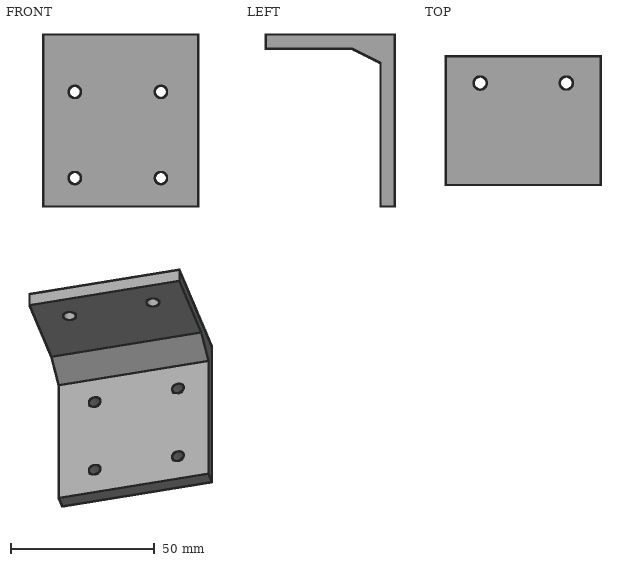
import cadquery as cq

width = 54.0
depth = 45.0
height = 60.0
wall_thickness = 5.0
flange_thickness = 5.0

gusset_depth = 10.0
gusset_height = 5.0

hole_spacing = 30.0
wall_hole_diameter = 4.2
wall_hole_first_x = 11.0
wall_hole_first_z = 10.0
flange_hole_diameter = 4.5
flange_hole_first_x = 12.0
flange_hole_y = 35.58


def make_bracket_body():
    """L-shaped section in the YZ plane, extruded along the width."""
    flange_underside = height - flange_thickness
    section = [
        (0, 0),
        (wall_thickness, 0),
        (wall_thickness, flange_underside - gusset_height),
        (wall_thickness + gusset_depth, flange_underside),
        (depth, flange_underside),
        (depth, height),
        (0, height),
    ]
    return cq.Workplane("YZ").polyline(section).close().extrude(width)


def make_wall_holes():
    """Square pattern of four through holes along Y."""
    centres = [
        (wall_hole_first_x + column * hole_spacing, wall_hole_first_z + row * hole_spacing)
        for column in range(2)
        for row in range(2)
    ]
    return cq.Workplane("XZ").pushPoints(centres).circle(wall_hole_diameter / 2).extrude(-wall_thickness)


def make_flange_holes():
    """Pair of through holes along Z near the free edge of the flange."""
    centres = [
        (flange_hole_first_x + column * hole_spacing, flange_hole_y)
        for column in range(2)
    ]
    top_plane = cq.Workplane("XY", origin=(0, 0, height))
    return top_plane.pushPoints(centres).circle(flange_hole_diameter / 2).extrude(-flange_thickness)


result = make_bracket_body().cut(make_wall_holes()).cut(make_flange_holes())